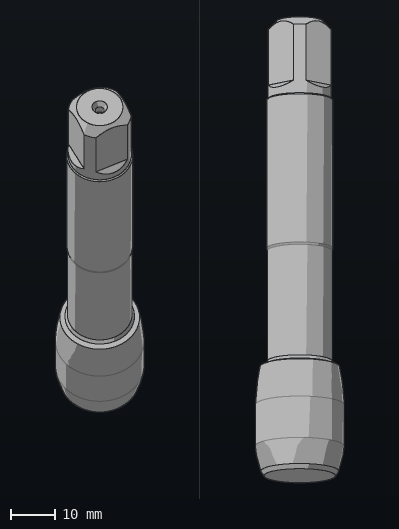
import cadquery as cq
import math

total_length = 105.0
drive_bottom = 87.0
mid_step = 52.5
flare_top = 26.5
collar_top = 25.2
barrel_top = 16.4
barrel_bottom = 6.8
nose_edge = 1.0

drive_radius = 14.4 / 2
shank_radius = 15.0 / 2
neck_radius = 14.7 / 2
seat_radius = 7.9
flare_drop = 0.8
seat_top = flare_top - flare_drop
seat_bottom = barrel_bottom
step_height = 0.5
drive_shoulder_height = 0.3

square_sides = 4
square_width = 12.0
flat_bottom = 90.0
cutter_overhang = 1.0
drive_tip_radius = 5.2
drive_chamfer_height = 2.1

center_hole_diameter = 2.0
countersink_diameter = 3.5
countersink_angle = 60.0
center_hole_depth = 3.2
drill_point_angle = 120.0

collar_radius = 20.2 / 2
collar_rim_radius = 9.0
nose_radius = 8.8
nose_face_radius = 8.1
bulge = 0.2


def make_shank_blank():
    """Turned shank with its flare, neck, mid step and tapered drive tip."""
    return (
        cq.Workplane("XZ")
        .moveTo(0, seat_bottom)
        .lineTo(seat_radius, seat_bottom)
        .lineTo(seat_radius, seat_top)
        .lineTo(neck_radius, flare_top)
        .lineTo(neck_radius, mid_step - step_height)
        .lineTo(shank_radius, mid_step)
        .lineTo(shank_radius, drive_bottom - drive_shoulder_height)
        .lineTo(drive_radius, drive_bottom)
        .lineTo(drive_radius, total_length - drive_chamfer_height)
        .lineTo(drive_tip_radius, total_length)
        .lineTo(0, total_length)
        .close()
        .revolve(360, (0, 0, 0), (0, 1, 0))
    )


def make_flat_cutter():
    """Cutter for one drive flat, with a 45 degree runout at its lower end."""
    inner = square_width / 2
    outer = shank_radius + cutter_overhang
    runout = outer - inner
    return (
        cq.Workplane("XZ")
        .moveTo(inner, flat_bottom)
        .lineTo(outer, flat_bottom - runout)
        .lineTo(outer, total_length)
        .lineTo(inner, total_length)
        .close()
        .extrude(shank_radius, both=True)
    )


def make_center_hole():
    """Cutter for the countersunk centre hole with a conical drill point."""
    hole_radius = center_hole_diameter / 2
    mouth_radius = countersink_diameter / 2
    countersink_depth = (mouth_radius - hole_radius) / math.tan(math.radians(countersink_angle / 2))
    point_depth = hole_radius / math.tan(math.radians(drill_point_angle / 2))
    wall_end = total_length - center_hole_depth
    return (
        cq.Workplane("XZ")
        .moveTo(0, total_length)
        .lineTo(mouth_radius, total_length)
        .lineTo(hole_radius, total_length - countersink_depth)
        .lineTo(hole_radius, wall_end)
        .lineTo(0, wall_end - point_depth)
        .close()
        .revolve(360, (0, 0, 0), (0, 1, 0))
    )


def make_shank():
    """Shank with a square drive and a countersunk centre hole."""
    shank = make_shank_blank()
    flat_cutter = make_flat_cutter()
    for side in range(square_sides):
        shank = shank.cut(flat_cutter.rotate((0, 0, 0), (0, 0, 1), side * 360 / square_sides))
    return shank.cut(make_center_hole())


def bowed_midpoint(start, end):
    """Midpoint of a profile stretch, moved outward at right angles by the bulge."""
    run = end[0] - start[0]
    rise = end[1] - start[1]
    length = math.hypot(run, rise)
    return (
        (start[0] + end[0]) / 2 + bulge * rise / length,
        (start[1] + end[1]) / 2 - bulge * run / length,
    )


def make_collar():
    """Barrel-shaped collar with a blind socket that holds the end of the shank."""
    nose = (nose_radius, nose_edge)
    band_low = (collar_radius, barrel_bottom)
    band_high = (collar_radius, barrel_top)
    rim = (collar_rim_radius, collar_top)
    return (
        cq.Workplane("XZ")
        .moveTo(0, 0)
        .lineTo(nose_face_radius, 0)
        .lineTo(*nose)
        .threePointArc(bowed_midpoint(nose, band_low), band_low)
        .lineTo(*band_high)
        .threePointArc(bowed_midpoint(band_high, rim), rim)
        .lineTo(seat_radius, seat_top)
        .lineTo(seat_radius, seat_bottom)
        .lineTo(0, seat_bottom)
        .close()
        .revolve(360, (0, 0, 0), (0, 1, 0))
    )


shank = make_shank()
collar = make_collar()

result = cq.Compound.makeCompound([shank.val(), collar.val()])